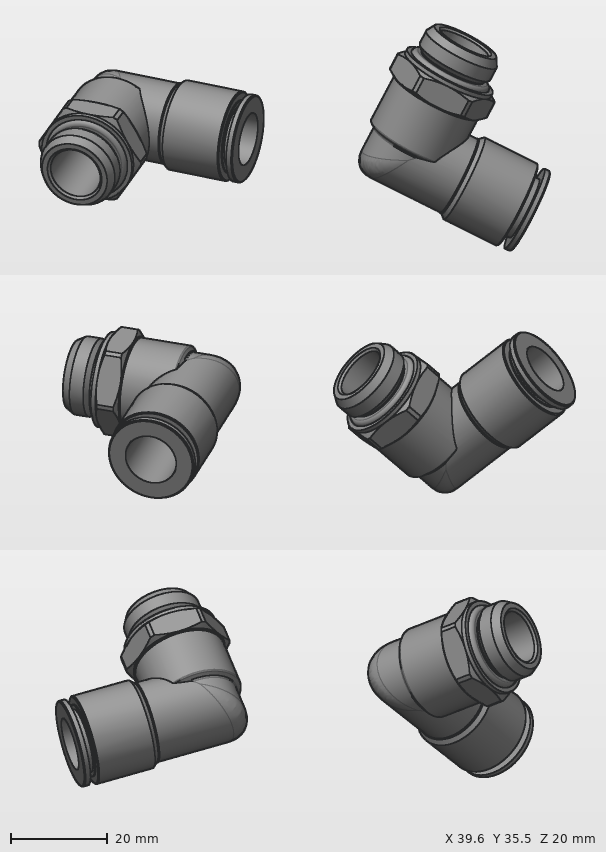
import cadquery as cq
import math


pipe_radius = 8.52
corner_start = 0.52
bore_radius = 5.5

body_radius = 9.75
body_top = 1.1
shoulder_angle = 60
shoulder_round = 0.4
body_end = 12.8
body_gap_radius = 9.55
hex_start = 13.0
hex_end = 18.05
hex_across_flats = 20.0
hex_corner_radius = 11.25
hex_chamfer_angle = 30
washer_end = 19.0
seal_radius = 9.0
seal_end = 19.95
thread_radius = 8.25
thread_root_radius = 7.2
thread_relief_end = 20.2
thread_start = 21.25
thread_taper_start = 24.23
thread_end = 26.0
bore_mouth_radius = 6.03

collar_radius = 9.48
collar_lip_radius = 8.65
collar_start = 11.78
collar_cone_start = 12.1
collar_cone_end = 13.05
collar_end = 25.45
collar_edge = 0.25
step_radius = 7.75
step_end = 25.7
release_neck_radius = 6.78
flange_radius = 9.25
flange_start = 27.1
flange_end = 28.4
flange_edge = 0.25


def turned_x(points):
    """Solid of revolution about X from (distance, radius) points."""
    return cq.Workplane("XY").polyline(points).close().revolve(360, (0, 0, 0), (1, 0, 0))


def turned_y(points):
    """Solid of revolution about Y from (distance towards -Y, radius) points."""
    outline = [(radius, -distance) for distance, radius in points]
    return cq.Workplane("XY").polyline(outline).close().revolve(360, (0, 0, 0), (0, 1, 0))


def cylinder_x(radius, start, end):
    return cq.Workplane("YZ").workplane(offset=start).circle(radius).extrude(end - start)


def cylinder_y(radius, start, end):
    return cq.Workplane("XZ").workplane(offset=start).circle(radius).extrude(end - start)


def prism(points):
    """Clipping prism taller than the pipe, centred on the XY plane."""
    return cq.Workplane("XY").polyline(points).close().extrude(2 * pipe_radius, both=True)


def rounded_corner():
    """Ellipsoid sector tangent to both pipes, pointing along (-1, 1)."""
    long_scale = math.sqrt(1 + corner_start)
    short_scale = math.sqrt(1 - corner_start)
    sector_angle = 2 * math.degrees(math.atan(short_scale / long_scale))
    sphere_sector = (
        cq.Workplane("XZ").moveTo(0, -pipe_radius)
        .threePointArc((pipe_radius, 0), (0, pipe_radius)).close()
        .revolve(sector_angle, (0, 0, 0), (0, 1, 0))
        .rotate((0, 0, 0), (0, 0, 1), -sector_angle / 2)
    )
    stretch = cq.Matrix([[long_scale, 0, 0, 0], [0, short_scale, 0, 0], [0, 0, 1, 0]])
    ellipsoid_sector = sphere_sector.val().transformGeometry(stretch)
    return cq.Workplane(ellipsoid_sector).rotate((0, 0, 0), (0, 0, 1), 135)


def elbow():
    """Two pipes mitred along the inside of the bend, with the rounded corner outside."""
    reach = 2 * pipe_radius
    offset = corner_start * reach
    x_clip = prism([(0, 0), (-offset, reach), (reach, reach), (reach, -reach)])
    y_clip = prism([(0, 0), (-reach, offset), (-reach, -reach), (reach, -reach)])
    x_pipe = cylinder_x(pipe_radius, -reach, collar_start).intersect(x_clip)
    y_pipe = cylinder_y(pipe_radius, -reach, body_end).intersect(y_clip)
    return x_pipe.union(y_pipe).union(rounded_corner())


def swivel_body():
    """Swivel sleeve with a conical shoulder blended by arcs into the pipe and the sleeve."""
    slope = math.radians(shoulder_angle)
    arc_length = shoulder_round * math.sin(slope)
    arc_rise = shoulder_round * (1 - math.cos(slope))
    half_length = shoulder_round * math.sin(slope / 2)
    half_rise = shoulder_round * (1 - math.cos(slope / 2))
    cone_length = (body_radius - pipe_radius - 2 * arc_rise) / math.tan(slope)
    cone_start = body_top + arc_length
    cone_end = cone_start + cone_length
    shoulder_end = cone_end + arc_length
    return (
        cq.Workplane("XY")
        .moveTo(0, -body_top)
        .lineTo(pipe_radius, -body_top)
        .threePointArc(
            (pipe_radius + half_rise, -(body_top + half_length)),
            (pipe_radius + arc_rise, -cone_start),
        )
        .lineTo(body_radius - arc_rise, -cone_end)
        .threePointArc(
            (body_radius - half_rise, -(shoulder_end - half_length)),
            (body_radius, -shoulder_end),
        )
        .lineTo(body_radius, -body_end)
        .lineTo(body_gap_radius, -body_end)
        .lineTo(body_gap_radius, -hex_start)
        .lineTo(0, -hex_start)
        .close()
        .revolve(360, (0, 0, 0), (0, 1, 0))
    )


def hex_nut():
    """Hexagon with flats facing Z, trimmed corners and both ends chamfered."""
    inner_radius = hex_across_flats / 2
    across_corners = hex_across_flats / math.cos(math.radians(30))
    chamfer = (hex_corner_radius - inner_radius) * math.tan(math.radians(hex_chamfer_angle))
    hexagon = (
        cq.Workplane("XZ").workplane(offset=hex_start)
        .polygon(6, across_corners).extrude(hex_end - hex_start)
    )
    envelope = turned_y([
        (hex_start, 0),
        (hex_start, inner_radius),
        (hex_start + chamfer, hex_corner_radius),
        (hex_end - chamfer, hex_corner_radius),
        (hex_end, inner_radius),
        (hex_end, 0),
    ])
    return hexagon.intersect(envelope)


def washer_and_seal():
    """Flat washer followed by a seal ring with a rounded outer edge."""
    seal_round = seal_end - washer_end
    washer = cylinder_y(hex_across_flats / 2, hex_end, washer_end)
    seal = cylinder_y(seal_radius, hex_end, seal_end).faces("<Y").edges().fillet(seal_round)
    return washer.union(seal)


def threaded_end():
    return turned_y([
        (hex_end, 0),
        (hex_end, thread_root_radius),
        (thread_relief_end, thread_root_radius),
        (thread_start, thread_radius),
        (thread_taper_start, thread_radius),
        (thread_end, thread_root_radius),
        (thread_end, 0),
    ])


def push_in_end():
    """Collar, stepped shoulder and release ring with its flange."""
    return turned_x([
        (collar_start, 0),
        (collar_start, collar_lip_radius),
        (collar_cone_start, collar_lip_radius),
        (collar_cone_end, collar_radius),
        (collar_end - collar_edge, collar_radius),
        (collar_end, collar_radius - collar_edge),
        (collar_end, step_radius),
        (step_end, step_radius),
        (step_end, release_neck_radius),
        (flange_start, release_neck_radius),
        (flange_start, flange_radius),
        (flange_end - flange_edge, flange_radius),
        (flange_end, flange_radius - flange_edge),
        (flange_end, 0),
    ])


def passage():
    """Bore through both legs, rounded at the bend and chamfered at the thread mouth."""
    mouth_depth = bore_mouth_radius - bore_radius
    mouth = turned_y([
        (thread_end - mouth_depth, 0),
        (thread_end - mouth_depth, bore_radius),
        (thread_end, bore_mouth_radius),
        (thread_end, 0),
    ])
    return (
        cylinder_x(bore_radius, 0, flange_end)
        .union(cylinder_y(bore_radius, 0, thread_end))
        .union(cq.Workplane("XY").sphere(bore_radius))
        .union(mouth)
    )


result = (
    elbow()
    .union(swivel_body())
    .union(hex_nut())
    .union(washer_and_seal())
    .union(threaded_end())
    .union(push_in_end())
    .cut(passage())
)